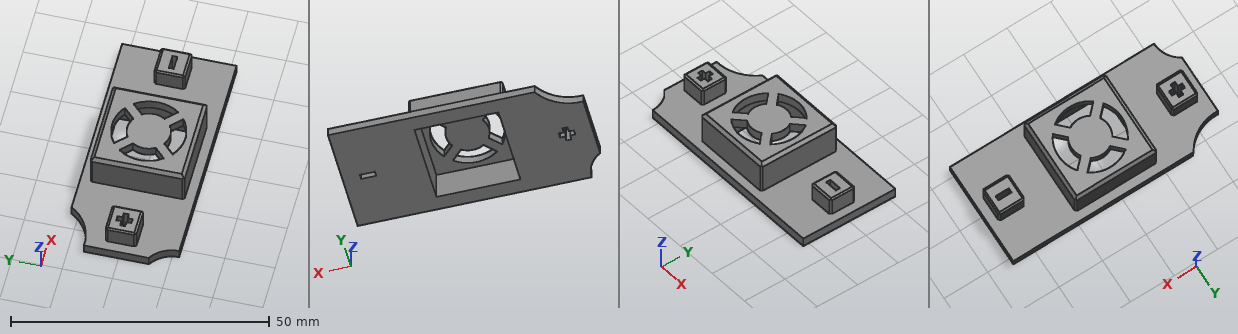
import cadquery as cq

plate_length = 49.9
plate_width = 22.8
plate_thickness = 2.0

back_notch_radius = 9.3
back_notch_center = (-24.4, 16.15)
front_notch_radius = 6.1
front_notch_center = (-28.0, -plate_width / 2)

total_height = 9.0
housing_side = 18.8
housing_edge_chamfer = 0.4
housing_top_chamfer = 0.7
grille_thickness = 2.0
wall_thickness = 1.0
cavity_side = housing_side - 2 * wall_thickness

vent_outer_radius = 7.3
vent_inner_radius = 4.3
spoke_width = 2.0
spoke_angles = (45, 135)

block_length = 6.0
block_width = 6.15
block_top = 5.9
block_offset = 19.9
block_chamfer_x = 0.35
block_chamfer_y = 0.45
block_top_drop = 0.3

sign_length = 3.0
sign_stroke = 1.0


def sloped_profile(half_width, height, inset, drop):
    """Points of an upright rectangle whose two top corners are cut off."""
    return [
        (-half_width, 0),
        (half_width, 0),
        (half_width, height - drop),
        (half_width - inset, height),
        (inset - half_width, height),
        (-half_width, height - drop),
    ]


def chamfered_block(center_x, size, corner, top_drop, top_inset, top):
    """Block on the plate with cut vertical corners and a sloped rim around its top."""
    length, width = size
    corner_x, corner_y = corner
    inset_x, inset_y = top_inset
    half_x = length / 2
    half_y = width / 2
    height = top - plate_thickness
    footprint = [
        (half_x, half_y - corner_y),
        (half_x - corner_x, half_y),
        (corner_x - half_x, half_y),
        (-half_x, half_y - corner_y),
        (-half_x, corner_y - half_y),
        (corner_x - half_x, -half_y),
        (half_x - corner_x, -half_y),
        (half_x, corner_y - half_y),
    ]
    column = cq.Workplane("XY").polyline(footprint).close().extrude(height)
    side_outline = sloped_profile(half_x, height, inset_x, top_drop)
    end_outline = sloped_profile(half_y, height, inset_y, top_drop)
    side_slopes = cq.Workplane("XZ").polyline(side_outline).close().extrude(half_y, both=True)
    end_slopes = cq.Workplane("YZ").polyline(end_outline).close().extrude(half_x, both=True)
    block = column.intersect(side_slopes).intersect(end_slopes)
    return block.translate((center_x, 0, plate_thickness))


def make_plate():
    plate = cq.Workplane("XY").box(plate_length, plate_width, plate_thickness, centered=(True, True, False))
    notches = (
        (back_notch_center, back_notch_radius),
        (front_notch_center, front_notch_radius),
    )
    for center, radius in notches:
        plate = plate.cut(cq.Workplane("XY").center(*center).circle(radius).extrude(plate_thickness))
    return plate


def make_vents():
    ring = cq.Workplane("XY").circle(vent_outer_radius).circle(vent_inner_radius).extrude(total_height)
    for angle in spoke_angles:
        spoke = cq.Workplane("XY").box(
            2 * housing_side, spoke_width, total_height, centered=(True, True, False)
        )
        ring = ring.cut(spoke.rotate((0, 0, 0), (0, 0, 1), angle))
    return ring


def make_cavity():
    depth = total_height - grille_thickness
    return cq.Workplane("XY").rect(cavity_side, cavity_side).extrude(depth)


def make_stroke(center_x, length, width):
    return cq.Workplane("XY").center(center_x, 0).rect(length, width).extrude(block_top)


def make_housing():
    return chamfered_block(
        0,
        (housing_side, housing_side),
        (housing_edge_chamfer, housing_edge_chamfer),
        housing_top_chamfer,
        (housing_top_chamfer, housing_top_chamfer),
        total_height,
    )


def make_terminal_block(center_x):
    chamfer = (block_chamfer_x, block_chamfer_y)
    return chamfered_block(
        center_x,
        (block_length, block_width),
        chamfer,
        block_top_drop,
        chamfer,
        block_top,
    )


plus_x = -block_offset
minus_x = block_offset

result = make_plate().union(make_housing())
for block_x in (plus_x, minus_x):
    result = result.union(make_terminal_block(block_x))

result = result.cut(make_cavity()).cut(make_vents())
for block_x in (plus_x, minus_x):
    result = result.cut(make_stroke(block_x, sign_length, sign_stroke))
result = result.cut(make_stroke(plus_x, sign_stroke, sign_length))